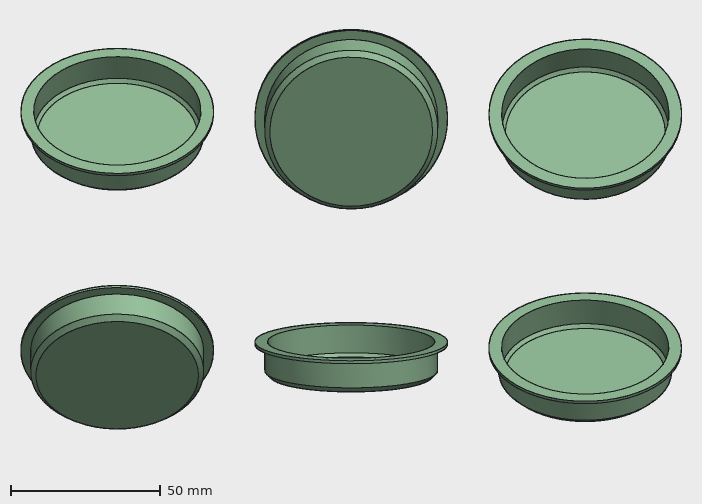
import math

import cadquery as cq

flange_diameter = 64.6
body_diameter = 58.0
total_height = 11.7
wall_thickness = 1.0
bevel_face_length = 2.5

cavity_diameter = body_diameter - 2 * wall_thickness
outer_bevel = bevel_face_length / math.sqrt(2)
inner_bevel = outer_bevel - (2 - math.sqrt(2)) * wall_thickness


def make_disc(diameter, bottom, top):
    """Plain vertical cylinder between two heights."""
    return cq.Workplane("XY").workplane(offset=bottom).circle(diameter / 2).extrude(top - bottom)


def bevel_bottom(disc, size):
    """Cut a 45 degree bevel around the lower edge of a cylinder."""
    return disc.faces("<Z").edges().chamfer(size)


def make_body():
    """Round plug, bevelled around its lower edge."""
    return bevel_bottom(make_disc(body_diameter, 0, total_height), outer_bevel)


def make_flange():
    """Thin rim, flush with the top of the body."""
    return make_disc(flange_diameter, total_height - wall_thickness, total_height)


def make_cavity():
    """Hollow above the floor, open at the top and bevelled to follow the body."""
    return bevel_bottom(make_disc(cavity_diameter, wall_thickness, total_height), inner_bevel)


result = make_body().union(make_flange()).cut(make_cavity())